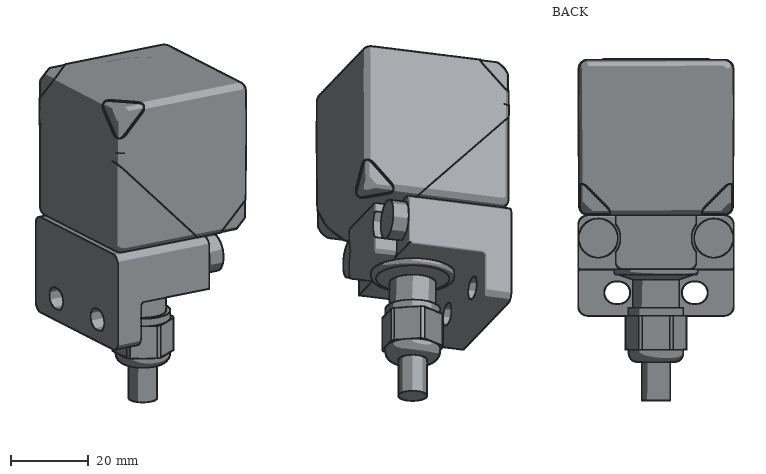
import cadquery as cq
import math

HEAD_WIDTH = 40.15
HALF_WIDTH = HEAD_WIDTH / 2
HEAD_HEIGHT = 40.15
CAP_HEIGHT = 12.3
SEAM_Z = HEAD_HEIGHT - CAP_HEIGHT
DRAFT_ANGLE = 0.4
EDGE_RADIUS = 2.5

DISC_BASE_DIAMETER = 28.0
DISC_TOP_DIAMETER = 26.5
DISC_HEIGHT = 0.2

WEDGE_LEG = 25.2
WEDGE_SIDE_INSET = 0.3

WINDOW_LEG = 9.9
WINDOW_INSET = 0.35
WINDOW_EDGE_RADIUS = 1.5
WINDOW_FACET_LEG = 5.2
WINDOW_FACET_RADIUS = 0.6
CUTTER_MARGIN = 1.0

PLATE_THICKNESS = 7.2
PLATE_HEIGHT = 26.0
PLATE_CORNER_RADIUS = 2.5
CLAMP_HEIGHT = 13.9
CLAMP_DEPTH = 28.0
INNER_CORNER_RADIUS = 1.0
CENTRE_BLOCK_DEPTH = 34.0
CENTRE_BLOCK_HALF_WIDTH = 10.4
BRACKET_EDGE_RADIUS = 0.5
CENTRE_BLOCK_BOTTOM_RADIUS = 1.75

SLOT_SPACING = 20.0
SLOT_LENGTH = 6.6
SLOT_HEIGHT = 5.7
SLOT_Z = -20.0

SCREW_SPACING = 29.8
SCREW_Z = -5.9
SCREW_HEAD_DIAMETER = 10.1
SCREW_HEAD_HEIGHT = 4.2
SCREW_CLEARANCE_RADIUS = 5.75

FLANGE_DIAMETER = 21.6
FLANGE_BOTTOM_Z = -15.4
FLANGE_EDGE_RADIUS = 0.8
CONE_TOP_DIAMETER = 19.0
CONE_BOTTOM_Z = -16.6
NECK_DIAMETER = 12.0
NUT_TOP_Z = -23.9
NUT_COLLAR_BOTTOM_Z = -25.9
NUT_HEX_BOTTOM_Z = -34.7
NUT_BOTTOM_Z = -37.9
NUT_ACROSS_FLATS = 14.2
NUT_ACROSS_CORNERS = 15.8
NUT_DOME_RADIUS = 2.4
CABLE_DIAMETER = 7.4
CABLE_END_Z = -47.81


def drafted_block(height, inset=0.0, edge_radius=EDGE_RADIUS, draft_front=True):
    """Block rising from z = 0 at full width, tapering inward, with rounded upright and far edges."""
    half = HALF_WIDTH - inset
    far_half = half - height * math.tan(math.radians(DRAFT_ANGLE))
    far_front = far_half if draft_front else half
    sides_outline = [(-half, 0), (half, 0), (far_half, height), (-far_half, height)]
    depth_outline = [(-half, 0), (half, 0), (far_half, height), (-far_front, height)]
    sides = cq.Workplane("XZ").polyline(sides_outline).close().extrude(half, both=True)
    block = cq.Workplane("YZ").polyline(depth_outline).close().extrude(half, both=True).intersect(sides)
    return block.edges("not <Z").fillet(edge_radius)


def make_head_shell(inset=0.0, edge_radius=EDGE_RADIUS):
    """Cap and base meeting at the seam; a positive inset shrinks every outer face."""
    cap = drafted_block(CAP_HEIGHT - inset, inset, edge_radius).translate((0, 0, SEAM_Z))
    base = drafted_block(SEAM_Z - inset, inset, edge_radius, draft_front=False)
    return cap.union(base.mirror("XY").translate((0, 0, SEAM_Z)))


def corner_wedge(x_side, y_side, z_side, leg):
    """Tetrahedron at a corner of the head, reaching the given leg along each of its edges."""
    reach = leg + 3 * CUTTER_MARGIN
    apex_xy = HALF_WIDTH + CUTTER_MARGIN
    corner_z = HEAD_HEIGHT + CUTTER_MARGIN if z_side > 0 else -CUTTER_MARGIN
    apex = cq.Vector(x_side * apex_xy, y_side * apex_xy, corner_z)
    along_x = apex - cq.Vector(x_side * reach, 0, 0)
    along_y = apex - cq.Vector(0, y_side * reach, 0)
    along_z = apex - cq.Vector(0, 0, z_side * reach)
    triangles = (
        (apex, along_x, along_y),
        (apex, along_y, along_z),
        (apex, along_z, along_x),
        (along_x, along_y, along_z),
    )
    faces = [cq.Face.makeFromWires(cq.Wire.makePolygon(list(points), close=True)) for points in triangles]
    return cq.Workplane(cq.Solid.makeSolid(cq.Shell.makeShell(faces)))


def split_front_wedge(head):
    """Replace the lower front of the head by an undrafted wedge with slightly recessed sides."""
    front = -HALF_WIDTH
    region = (
        cq.Workplane("YZ")
        .moveTo(front, 0)
        .lineTo(front + WEDGE_LEG, 0)
        .lineTo(front, WEDGE_LEG)
        .close()
        .extrude(HALF_WIDTH, both=True)
    )
    wedge = (
        cq.Workplane("XY")
        .box(HEAD_WIDTH - 2 * WEDGE_SIDE_INSET, HEAD_WIDTH, HEAD_HEIGHT, centered=(True, True, False))
        .edges("|Z or <Z")
        .fillet(EDGE_RADIUS)
        .intersect(region)
    )
    return head.cut(region).union(wedge)


def set_corner_windows(head):
    """Recess two top front and two bottom rear corners, each with a rounded facet at its tip."""
    window_corners = [
        (x_side, y_side, z_side)
        for x_side in (-1, 1)
        for y_side, z_side in ((-1, 1), (1, -1))
    ]
    inner = make_head_shell(WINDOW_INSET, WINDOW_EDGE_RADIUS)
    for corner in window_corners:
        inner = inner.cut(corner_wedge(*corner, WINDOW_FACET_LEG))
        facet = cq.selectors.DirectionMinMaxSelector(cq.Vector(*corner))
        inner = inner.faces(facet).edges().fillet(WINDOW_FACET_RADIUS)
    for corner in window_corners:
        region = corner_wedge(*corner, WINDOW_LEG)
        head = head.cut(region).union(inner.intersect(region))
    return head


def make_sensing_disc():
    return (
        cq.Workplane("XY", origin=(0, 0, HEAD_HEIGHT))
        .circle(DISC_BASE_DIAMETER / 2)
        .workplane(offset=DISC_HEIGHT)
        .circle(DISC_TOP_DIAMETER / 2)
        .loft()
    )


def make_bracket():
    """L-shaped bracket: clamp block under the head and a slotted plate flush with the front."""
    front = -HALF_WIDTH
    plate_back = front + PLATE_THICKNESS
    clamp_back = front + CLAMP_DEPTH
    bracket = (
        cq.Workplane("YZ")
        .moveTo(front, 0)
        .lineTo(clamp_back, 0)
        .lineTo(clamp_back, -CLAMP_HEIGHT)
        .lineTo(plate_back, -CLAMP_HEIGHT)
        .lineTo(plate_back, -PLATE_HEIGHT)
        .lineTo(front, -PLATE_HEIGHT)
        .close()
        .extrude(HALF_WIDTH, both=True)
    )
    bracket = bracket.edges("|Y and (<Z or >Z)").fillet(PLATE_CORNER_RADIUS)
    inner_corner = cq.selectors.NearestToPointSelector((0, plate_back, -CLAMP_HEIGHT))
    bracket = bracket.edges(inner_corner).fillet(INNER_CORNER_RADIUS)

    upright_edge = cq.selectors.NearestToPointSelector((HALF_WIDTH, clamp_back, -CLAMP_HEIGHT / 2))
    under_middle = (plate_back + clamp_back) / 2
    under_edge = cq.selectors.NearestToPointSelector((HALF_WIDTH, under_middle, -CLAMP_HEIGHT))
    bracket = bracket.edges(upright_edge).add(bracket.edges(under_edge)).fillet(BRACKET_EDGE_RADIUS)

    bracket = bracket.union(make_centre_block(plate_back))
    return bracket.cut(make_mounting_slots(front))


def make_centre_block(plate_back):
    """Narrower block between the clamp screws, standing out behind the clamp."""
    return (
        cq.Workplane("XY", origin=(0, plate_back, -CLAMP_HEIGHT))
        .box(2 * CENTRE_BLOCK_HALF_WIDTH, CENTRE_BLOCK_DEPTH - PLATE_THICKNESS, CLAMP_HEIGHT,
             centered=(True, False, False))
        .edges("<Z and |Y")
        .fillet(CENTRE_BLOCK_BOTTOM_RADIUS)
        .faces(">Y")
        .edges("not >Z")
        .fillet(BRACKET_EDGE_RADIUS)
    )


def make_mounting_slots(front):
    """Two slots through the plate, slightly longer than high."""
    return (
        cq.Workplane("XZ", origin=(0, front, SLOT_Z))
        .rarray(SLOT_SPACING, 1, 2, 1)
        .slot2D(SLOT_LENGTH, SLOT_HEIGHT)
        .extrude(-PLATE_THICKNESS)
    )


def add_clamp_screws(bracket):
    """Two screw heads on the back of the clamp, each with clearance cut into the centre block."""
    clamp_back = -HALF_WIDTH + CLAMP_DEPTH
    screw_places = (
        cq.Workplane("XZ", origin=(0, clamp_back, SCREW_Z))
        .rarray(SCREW_SPACING, 1, 2, 1)
    )
    clearance = screw_places.circle(SCREW_CLEARANCE_RADIUS).extrude(-(CENTRE_BLOCK_DEPTH - CLAMP_DEPTH))
    heads = screw_places.circle(SCREW_HEAD_DIAMETER / 2).extrude(-SCREW_HEAD_HEIGHT)
    return bracket.cut(clearance).union(heads)


def cylinder_between(diameter, top_z, bottom_z):
    return cq.Workplane("XY", origin=(0, 0, bottom_z)).circle(diameter / 2).extrude(top_z - bottom_z)


def hex_prism(across_flats, turn):
    across_corners = across_flats / math.cos(math.pi / 6)
    return (
        cq.Workplane("XY", origin=(0, 0, NUT_HEX_BOTTOM_Z))
        .polygon(6, across_corners)
        .extrude(NUT_COLLAR_BOTTOM_Z - NUT_HEX_BOTTOM_Z)
        .rotate((0, 0, 0), (0, 0, 1), turn)
    )


def make_gland():
    """Flange, neck, blunted hexagon nut with a domed end, and the cable stub."""
    flange = cylinder_between(FLANGE_DIAMETER, -CLAMP_HEIGHT, FLANGE_BOTTOM_Z)
    flange = flange.faces("<Z").edges().fillet(FLANGE_EDGE_RADIUS)
    cone = (
        cq.Workplane("XY", origin=(0, 0, FLANGE_BOTTOM_Z))
        .circle(CONE_TOP_DIAMETER / 2)
        .workplane(offset=CONE_BOTTOM_Z - FLANGE_BOTTOM_Z)
        .circle(NECK_DIAMETER / 2)
        .loft()
    )
    neck = cylinder_between(NECK_DIAMETER, CONE_BOTTOM_Z, NUT_TOP_Z)
    nut_core = cylinder_between(NUT_ACROSS_FLATS, NUT_TOP_Z, NUT_BOTTOM_Z)
    nut_core = nut_core.faces("<Z").edges().fillet(NUT_DOME_RADIUS)
    nut_hex = hex_prism(NUT_ACROSS_FLATS, 0).intersect(hex_prism(NUT_ACROSS_CORNERS, 30))
    cable = cylinder_between(CABLE_DIAMETER, NUT_BOTTOM_Z, CABLE_END_Z)
    return flange.union(cone).union(neck).union(nut_core).union(nut_hex).union(cable)


head = split_front_wedge(make_head_shell())
head = set_corner_windows(head).union(make_sensing_disc())
bracket = add_clamp_screws(make_bracket())
result = head.union(bracket).union(make_gland())